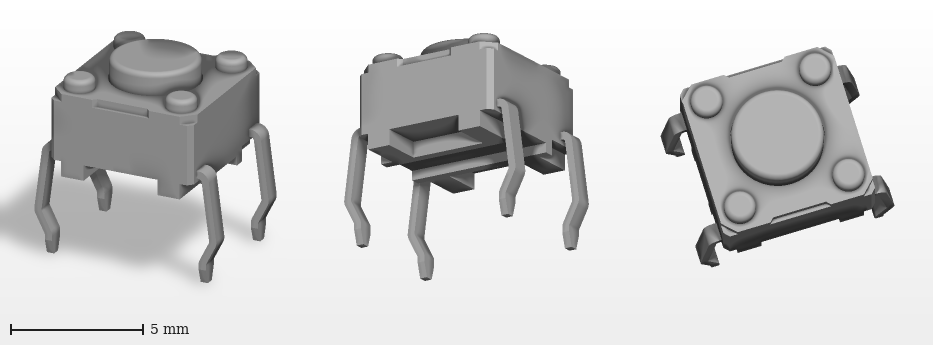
import cadquery as cq

base_z = 3.5
notch_top_z = 3.885
feet_top_z = 4.135
lid_bottom_z = 6.575
lid_top_z = 6.895
peg_top_z = 7.395
button_top_z = 7.8

body_side = 6.0
body_half = body_side / 2
body_chamfer = 0.2
lid_chamfer = 0.51
lid_notch_length = 2.4
lid_notch_depth = 0.155

strip_width = 2.59
strip_notch_width = 1.78
bar_inner_x = 1.55
bar_outer_x = 2.495

button_diameter = 3.5
button_hole_diameter = 3.6
peg_diameter = 1.2
peg_spacing = 4.29
rim_radius = 0.2

leg_width = 0.695
leg_thickness = 0.305
leg_spacing = 4.48
leg_bend_radius = 0.29
leg_root_z = 4.45
shoulder_x = 3.33
knee_x = 3.69
knee_z = 1.74
ankle_x = 3.24
ankle_z = 0.85
tip_width = 0.33
tip_taper_height = 0.585


def square_plate(bottom_z, top_z, chamfer):
    """Square plate of the housing's size with its four upright corners chamfered."""
    plate = cq.Workplane("XY").workplane(offset=bottom_z).rect(body_side, body_side)
    return plate.extrude(top_z - bottom_z).edges("|Z").chamfer(chamfer)


def block(size_x, size_y, bottom_z, top_z):
    """Rectangular block centred on the Z axis."""
    base = cq.Workplane("XY").workplane(offset=bottom_z)
    return base.rect(size_x, size_y).extrude(top_z - bottom_z)


def rounded_disc(diameter, bottom_z, top_z):
    """Upright cylinder with a rounded upper rim."""
    base = cq.Workplane("XY").workplane(offset=bottom_z)
    disc = base.circle(diameter / 2).extrude(top_z - bottom_z)
    return disc.faces(">Z").edges().fillet(rim_radius)


def make_housing():
    """Housing block on a cross strip and two pairs of feet, with a through notch below."""
    strip = block(body_side, strip_width, base_z, feet_top_z)
    bars = block(2 * bar_outer_x, body_side, base_z, feet_top_z)
    bars = bars.cut(block(2 * bar_inner_x, body_side, base_z, feet_top_z))
    notch = block(body_side, strip_notch_width, base_z, notch_top_z)
    housing = square_plate(feet_top_z, lid_bottom_z, body_chamfer)
    return housing.union(strip).union(bars).cut(notch)


def make_lid():
    """Cover plate with a button hole and a 45 degree sided notch in its front and back edges."""
    outer = lid_notch_length / 2
    inner = outer - lid_notch_depth
    notch_floor = body_half - lid_notch_depth
    notch = (
        cq.Workplane("XY")
        .workplane(offset=lid_bottom_z)
        .polyline([(-outer, body_half), (outer, body_half), (inner, notch_floor), (-inner, notch_floor)])
        .close()
        .extrude(lid_top_z - lid_bottom_z)
    )
    hole = cq.Workplane("XY").workplane(offset=lid_bottom_z).circle(button_hole_diameter / 2)
    lid = square_plate(lid_bottom_z, lid_top_z, lid_chamfer)
    lid = lid.cut(hole.extrude(lid_top_z - lid_bottom_z))
    return lid.cut(notch).cut(notch.mirror("XZ"))


def make_leg():
    """Bent flat leg on the +X side, centred on y = 0, with a tapered tip."""
    root_x = body_half - leg_thickness
    corners = [
        (root_x, leg_root_z),
        (shoulder_x, leg_root_z),
        (knee_x, knee_z),
        (ankle_x, ankle_z),
        (ankle_x, 0),
    ]
    centre_line = cq.Wire.makePolygon([cq.Vector(x, 0, z) for x, z in corners])
    centre_line = centre_line.fillet(leg_bend_radius)
    strip = (
        cq.Workplane("YZ", origin=(root_x, 0, leg_root_z))
        .rect(leg_width, leg_thickness)
        .sweep(cq.Workplane(obj=centre_line))
    )
    leg_top_z = leg_root_z + leg_thickness
    half_outline = [
        (0, 0),
        (tip_width / 2, 0),
        (leg_width / 2, tip_taper_height),
        (leg_width / 2, leg_top_z),
        (0, leg_top_z),
    ]
    tapered_outline = cq.Workplane("YZ").polyline(half_outline).mirrorY().extrude(body_side)
    return strip.intersect(tapered_outline)


result = make_housing().union(make_lid())
result = result.union(rounded_disc(button_diameter, lid_bottom_z, button_top_z))

peg = rounded_disc(peg_diameter, lid_top_z, peg_top_z)
right_leg = make_leg()
left_leg = right_leg.mirror("YZ")
for side_y in (-1, 1):
    for side_x in (-1, 1):
        result = result.union(peg.translate((side_x * peg_spacing / 2, side_y * peg_spacing / 2, 0)))
    for leg in (left_leg, right_leg):
        result = result.union(leg.translate((0, side_y * leg_spacing / 2, 0)))